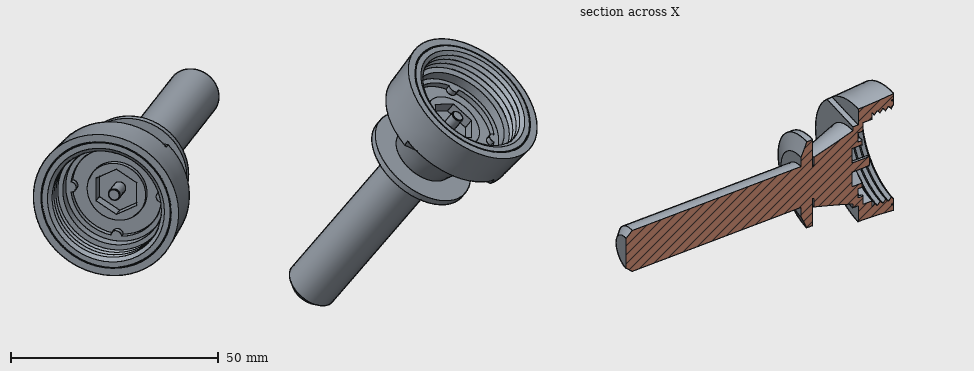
import cadquery as cq

total_length = 75.0
cup_length = 11.5
neck_end = 22.4
washer_start = 22.7
washer_rim_end = 24.4
washer_end = 26.0

rim_diameter = 36.5
rim_radius = rim_diameter / 2
cup_back_radius = 17.55
neck_base_radius = 11.5
neck_tip_radius = 7.8
collar_radius = 5.1
washer_radius = 13.5
washer_top_radius = 9.3
shaft_radius = 6.45
shaft_chamfer = 1.7

flat_offset = 12.7
flat_length = 1.5

crest_radius = 13.7
groove_radius = 14.7
groove_count = 3
groove_pitch = 1.6
mouth_depth = 0.7
thread_ledge = 6.1
middle_radius = 12.7
middle_ledge = 8.55
floor_radius = 11.4
floor_depth = 10.0

ring_inner_radius = 16.1
ring_outer_radius = 16.35
ring_depth = 0.5

lug_radius = 1.35
lug_count = 4
boss_radius = 7.35
boss_face = 8.8
hex_across_flats = 10.2
hex_depth = 2.8
pin_radius = 1.5
pin_chamfer = 0.19
pin_tip = 6.75
hex_floor = boss_face + hex_depth


def revolve_about_y(points):
    """Close a (radius, y) outline and turn it about the Y axis."""
    return cq.Workplane("XY").polyline(points).close().revolve(360, (0, 0), (0, 1))


def plane_at(y):
    """XZ work plane at the given Y, with extrusion toward +Y."""
    return cq.Workplane("XZ", origin=(0, y, 0))


def along_y(sketch, length):
    """Extrude a sketch on an XZ plane toward +Y."""
    return sketch.extrude(-length)


def outer_body():
    return revolve_about_y([
        (0, 0),
        (rim_radius, 0),
        (cup_back_radius, cup_length),
        (neck_base_radius, cup_length),
        (neck_tip_radius, neck_end),
        (collar_radius, neck_end),
        (collar_radius, washer_start),
        (washer_radius, washer_start),
        (washer_radius, washer_rim_end),
        (washer_top_radius, washer_end),
        (shaft_radius, washer_end),
        (shaft_radius, total_length - shaft_chamfer),
        (shaft_radius - shaft_chamfer, total_length),
        (0, total_length),
    ])


def threaded_bore():
    """Flared mouth, V grooves, a flared relief, then two ledges down to the floor."""
    outline = [(0, 0), (groove_radius, 0), (crest_radius, mouth_depth)]
    for groove in range(groove_count):
        crest = mouth_depth + groove * groove_pitch
        outline.append((groove_radius, crest + groove_pitch / 2))
        outline.append((crest_radius, crest + groove_pitch))
    outline += [
        (groove_radius, thread_ledge),
        (middle_radius, thread_ledge),
        (middle_radius, middle_ledge),
        (floor_radius, middle_ledge),
        (floor_radius, floor_depth),
        (0, floor_depth),
    ]
    return revolve_about_y(outline)


def floor_lugs():
    """Round lugs standing on the floor, flush with the ledge around it."""
    centres = plane_at(middle_ledge).polarArray(floor_radius, 0, 360, lug_count)
    return along_y(centres.circle(lug_radius), floor_depth - middle_ledge)


def rim_groove():
    ring = plane_at(0).circle(ring_outer_radius).circle(ring_inner_radius)
    return along_y(ring, ring_depth)


def socket_boss():
    """Round boss on the floor around the hexagon socket."""
    return along_y(plane_at(boss_face).circle(boss_radius), floor_depth - boss_face)


def hex_socket():
    """Hexagon with corners pointing along Z and flats facing X."""
    corner_diameter = hex_across_flats * 2 / 3 ** 0.5
    hexagon = plane_at(boss_face).transformed(rotate=(0, 0, 90)).polygon(6, corner_diameter)
    return along_y(hexagon, hex_depth)


def socket_pin():
    pin = along_y(plane_at(pin_tip).circle(pin_radius), hex_floor - pin_tip)
    return pin.faces("<Y").chamfer(pin_chamfer)


def back_flat(side):
    """Material to remove beyond one flat, on the +Z or -Z side of the cup."""
    height = rim_radius - flat_offset
    return cq.Workplane("XY").box(2 * rim_radius, flat_length, height).translate(
        (0, cup_length - flat_length / 2, side * (flat_offset + height / 2))
    )


result = outer_body().cut(threaded_bore()).union(floor_lugs()).union(socket_boss())
result = result.cut(rim_groove()).cut(hex_socket()).union(socket_pin())
for side in (1, -1):
    result = result.cut(back_flat(side))